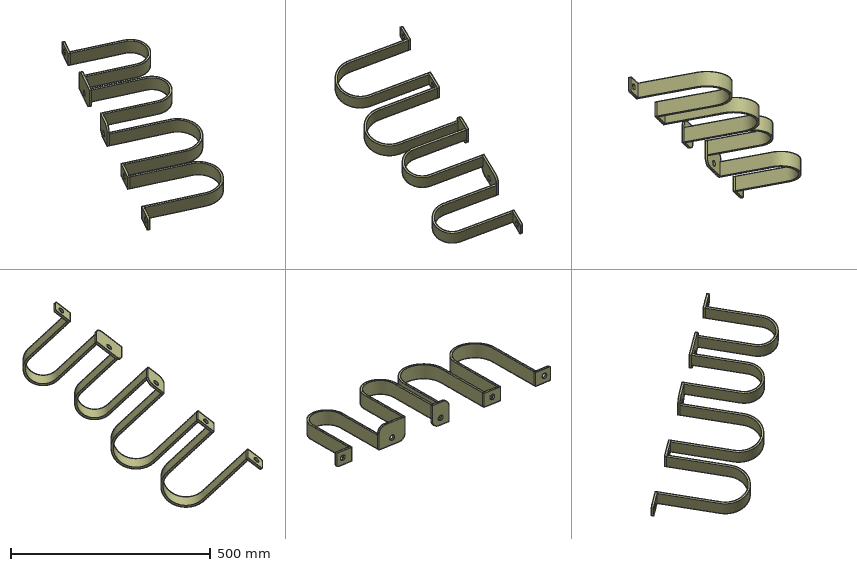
import cadquery as cq

total_length = 702.0
thickness = 6.0
strip_width = 40.0
raised_step = 25.0

small_inner_diameter = 89.0
large_inner_diameter = 114.5
small_crown_y = 201.0
large_crown_y = 231.0

raised_hoop_gap = 74.0
hoop_gap = 43.0

hole_diameter = 15.0
end_hole_inset = strip_width / 2
step_corner_radius = 20.5
end_corner_radius = 5.0

small_width = small_inner_diameter + 2 * thickness
large_width = large_inner_diameter + 2 * thickness

end_flange = (total_length - 2 * small_width - 2 * large_width - raised_hoop_gap - 2 * hoop_gap) / 2

hoop_1_left = end_flange
hoop_2_left = hoop_1_left + small_width + raised_hoop_gap
hoop_3_left = hoop_2_left + small_width + hoop_gap
hoop_4_left = hoop_3_left + large_width + hoop_gap

hoop_layout = [
    (hoop_1_left, small_width, small_crown_y, 0),
    (hoop_2_left, small_width, small_crown_y, raised_step),
    (hoop_3_left, large_width, large_crown_y, 0),
    (hoop_4_left, large_width, large_crown_y, 0),
]


def make_hoop(left, width, crown_y, bottom):
    """U-shaped strip whose legs stand on the back faces of the plates."""
    right = left + width
    middle = left + width / 2
    bend_y = crown_y - width / 2
    inner_left = left + thickness
    inner_right = right - thickness
    return (
        cq.Workplane("XY", origin=(0, 0, bottom))
        .moveTo(left, thickness)
        .lineTo(left, bend_y)
        .threePointArc((middle, crown_y), (right, bend_y))
        .lineTo(right, thickness)
        .lineTo(inner_right, thickness)
        .lineTo(inner_right, bend_y)
        .threePointArc((middle, crown_y - thickness), (inner_left, bend_y))
        .lineTo(inner_left, thickness)
        .close()
        .extrude(strip_width)
    )


def make_plate(left, right, height, hole_x):
    """Upright plate with one through hole, level with the middle of the low strips."""
    plate = cq.Workplane("XY").box(right - left, thickness, height, centered=False)
    hole = (
        cq.Workplane("XZ", origin=(hole_x, 0, strip_width / 2))
        .circle(hole_diameter / 2)
        .extrude(-thickness)
    )
    return plate.translate((left, 0, 0)).cut(hole)


def make_end_plate(left, right, free_side):
    """Plate at one end of the row; free_side is -1 at the left end and +1 at the right end."""
    hole_x = left + end_hole_inset if free_side < 0 else right - end_hole_inset
    plate = make_plate(left, right, strip_width, hole_x)
    free_corners = plate.faces("<X" if free_side < 0 else ">X").edges("|Y")
    return free_corners.fillet(end_corner_radius)


def make_step_plate(left, right, rounded_corners):
    """Tall plate joining a low hoop to the raised one, with two opposite corners rounded."""
    plate = make_plate(left, right, strip_width + raised_step, (left + right) / 2)
    for side, level in rounded_corners:
        plate = plate.faces(side).edges(level).fillet(step_corner_radius)
    return plate


hoops = [make_hoop(*layout) for layout in hoop_layout]

left_end_plate = make_end_plate(0, hoop_1_left + thickness, -1)
rising_plate = make_step_plate(
    hoop_1_left + small_width - thickness,
    hoop_2_left + thickness,
    [("<X", ">Z"), (">X", "<Z")],
)
falling_plate = make_step_plate(
    hoop_2_left + small_width - thickness,
    hoop_3_left + thickness,
    [("<X", "<Z"), (">X", ">Z")],
)
level_plate_left = hoop_3_left + large_width - thickness
level_plate_right = hoop_4_left + thickness
level_plate = make_plate(
    level_plate_left,
    level_plate_right,
    strip_width,
    (level_plate_left + level_plate_right) / 2,
)
right_end_plate = make_end_plate(hoop_4_left + large_width - thickness, total_length, 1)

result = cq.Compound.makeCompound([
    *[hoop.val() for hoop in hoops],
    left_end_plate.val(),
    rising_plate.val(),
    falling_plate.val(),
    level_plate.val(),
    right_end_plate.val(),
])